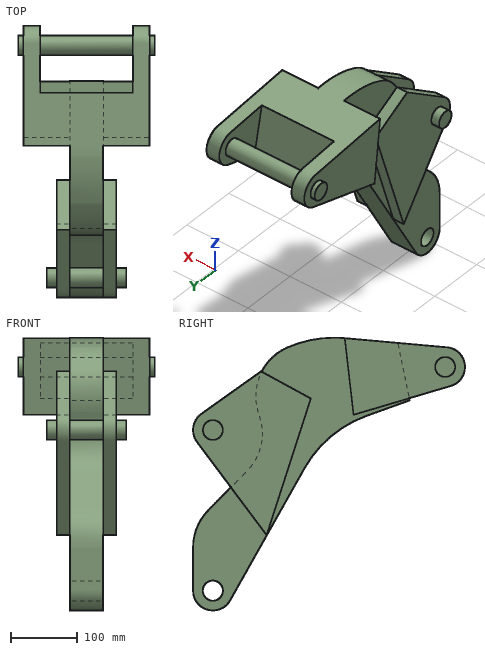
import cadquery as cq
import math


ARM_WIDTH = 50.0
EAR_THICKNESS = 20.0
BRACKET_WIDTH = 190.0
CHEEK_THICKNESS = 25.0
BRACKET_PIN_OVERHANG = 8.0
EAR_PIN_OVERHANG = 15.0

PIN_RADIUS = 15.0
EYE_RADIUS = 30.0
TIP_HOLE = (0.0, 0.0)
EAR_PIN = (0.0, 242.0)
BRACKET_PIN = (350.0, 337.0)

ARM_TOP_Z = 381.28
BEND_RADIUS = 80.0
HUMP_CENTER = (144.3, 293.2)
RELIEF_CENTER = (-5.7, 236.9)
HEEL_CENTER = (BEND_RADIUS - EYE_RADIUS, 65.0)
CROWN_RADIUS = 175.0
SHOULDER_RADIUS = 180.0
BELLY_RADIUS = 175.0
BELLY_CENTER = (290.7, 98.5)

ARM_ROOT_BOTTOM = (296.4, 286.5)
BRACKET_BOTTOM = (212.0, 265.0)
SLOT_FLOOR_TOP_Y = 278.3
EAR_TOP = (72.5, 330.4)
EAR_INNER = (147.6, 289.5)
EAR_BOTTOM = (81.0, 83.7)

POINT_TOLERANCE = 0.001


def tangent_normal(start, end):
    """Angle of the right-hand normal of the line tangent to two discs.

    A disc is (center, radius): positive turns left, negative turns right, zero is a sharp corner.
    """
    (y0, z0), r0 = start
    (y1, z1), r1 = end
    ratio = (r0 - r1) / math.hypot(y1 - y0, z1 - z0)
    return math.atan2(z1 - z0, y1 - y0) - math.acos(max(-1.0, min(1.0, ratio)))


def rim_point(disc, angle):
    """Point of a disc in the direction of the angle, or opposite to it for a negative radius."""
    (y, z), radius = disc
    return (y + radius * math.cos(angle), z + radius * math.sin(angle))


def belt(discs, width):
    """Plate centred on X = 0 whose outline wraps tangentially around the discs in order."""
    count = len(discs)
    leaving = [tangent_normal(discs[i], discs[(i + 1) % count]) for i in range(count)]
    here = rim_point(discs[-1], leaving[-1])
    outline = cq.Workplane("YZ").moveTo(*here)
    for i, disc in enumerate(discs):
        arrival = rim_point(disc, leaving[i - 1])
        if math.dist(here, arrival) > POINT_TOLERANCE:
            outline = outline.lineTo(*arrival)
        here = rim_point(disc, leaving[i])
        if disc[1] != 0:
            turn = math.remainder(leaving[i] - leaving[i - 1], 2 * math.pi)
            outline = outline.threePointArc(rim_point(disc, leaving[i - 1] + turn / 2), here)
    return outline.close().extrude(width / 2, both=True)


def pin(center, length):
    """Round bar along X, centred on X = 0."""
    return cq.Workplane("YZ").center(*center).circle(PIN_RADIUS).extrude(length / 2, both=True)


tip_eye = (TIP_HOLE, EYE_RADIUS)
ear_eye = (EAR_PIN, EYE_RADIUS)
bracket_eye = (BRACKET_PIN, EYE_RADIUS)
hump = (HUMP_CENTER, BEND_RADIUS)
relief = (RELIEF_CENTER, -BEND_RADIUS)
heel = (HEEL_CENTER, BEND_RADIUS)
belly = (BELLY_CENTER, -BELLY_RADIUS)

crown_z = ARM_TOP_Z - CROWN_RADIUS
crown_offset_y = math.sqrt((CROWN_RADIUS - BEND_RADIUS) ** 2 - (HUMP_CENTER[1] - crown_z) ** 2)
crown_y = HUMP_CENTER[0] + crown_offset_y
crown = ((crown_y, crown_z), CROWN_RADIUS)
shoulder = ((crown_y, ARM_TOP_Z - SHOULDER_RADIUS), SHOULDER_RADIUS)

bracket_eye_top = (rim_point(bracket_eye, math.pi / 2), 0)
top_normal = tangent_normal(bracket_eye_top, shoulder)
bracket_top = rim_point(shoulder, top_normal)
slot_floor_top_z = bracket_top[1] + (SLOT_FLOOR_TOP_Y - bracket_top[0]) * math.tan(top_normal - math.pi / 2)
slot_floor_top = (SLOT_FLOOR_TOP_Y, slot_floor_top_z)


def make_arm():
    """Bent plate with a hole in its tip."""
    root_top = (slot_floor_top, 0)
    root_bottom = (ARM_ROOT_BOTTOM, 0)
    arm = belt([root_top, shoulder, crown, hump, relief, heel, tip_eye, belly, root_bottom], ARM_WIDTH)
    return arm.cut(pin(TIP_HOLE, ARM_WIDTH))


def make_bracket():
    """Wedge-shaped block with a slot that leaves two cheeks around the pin."""
    block = belt([bracket_eye, bracket_eye_top, (bracket_top, 0), (BRACKET_BOTTOM, 0)], BRACKET_WIDTH)
    floor_y = ARM_ROOT_BOTTOM[0] - slot_floor_top[0]
    floor_z = ARM_ROOT_BOTTOM[1] - slot_floor_top[1]
    slot_end_y = BRACKET_PIN[0] + 2 * EYE_RADIUS
    slot = (
        cq.Workplane("YZ")
        .moveTo(slot_floor_top[0] - floor_y, slot_floor_top[1] - floor_z)
        .lineTo(ARM_ROOT_BOTTOM[0] + floor_y, ARM_ROOT_BOTTOM[1] + floor_z)
        .lineTo(slot_end_y, ARM_ROOT_BOTTOM[1] + floor_z)
        .lineTo(slot_end_y, slot_floor_top[1] - floor_z)
        .close()
        .extrude(BRACKET_WIDTH / 2 - CHEEK_THICKNESS, both=True)
    )
    return block.cut(slot)


def make_ears():
    """Two plates, one on each side of the arm."""
    corners = [(corner, 0) for corner in (EAR_BOTTOM, EAR_INNER, EAR_TOP)]
    spread = ARM_WIDTH + 2 * EAR_THICKNESS
    outline = [ear_eye] + corners
    return belt(outline, spread).cut(belt(outline, ARM_WIDTH))


bracket_pin = pin(BRACKET_PIN, BRACKET_WIDTH + 2 * BRACKET_PIN_OVERHANG)
ear_pin = pin(EAR_PIN, ARM_WIDTH + 2 * (EAR_THICKNESS + EAR_PIN_OVERHANG))

result = make_arm().union(make_bracket()).union(make_ears()).union(bracket_pin).union(ear_pin)